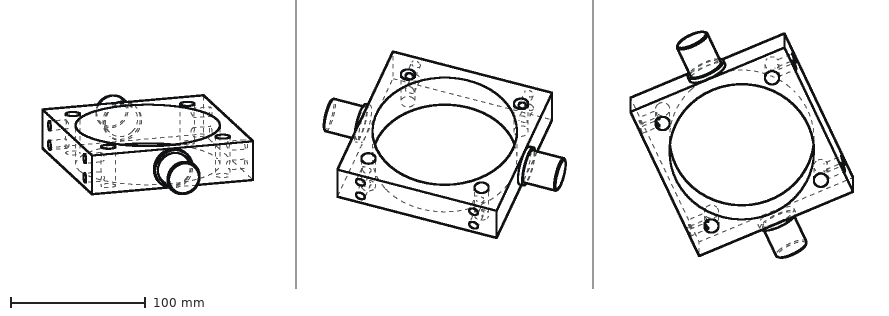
import cadquery as cq

body_side = 125.0
body_height = 30.0
bore_diameter = 107.0

overall_length = 182.0
collar_diameter = 29.1
collar_thickness = 3.3
pin_diameter = 25.0
pin_chamfer = 1.0

bolt_offset = 44.4
bolt_hole_diameter = 10.5
side_hole_diameter = 7.0
side_hole_height = 7.5

half_side = body_side / 2
side_hole_depth = half_side - bolt_offset


def make_body():
    """Square block with a large bore and four vertical bolt holes."""
    bolt_spacing = 2 * bolt_offset
    return (
        cq.Workplane("XY")
        .box(body_side, body_side, body_height)
        .faces(">Z").workplane()
        .hole(bore_diameter)
        .faces(">Z").workplane()
        .rect(bolt_spacing, bolt_spacing, forConstruction=True)
        .vertices()
        .hole(bolt_hole_diameter)
    )


def make_trunnion():
    """Collar and chamfered pin on the +X side."""
    pin_length = overall_length / 2 - half_side
    pin = (
        cq.Workplane("YZ", origin=(half_side, 0, 0))
        .circle(pin_diameter / 2)
        .extrude(pin_length)
        .faces(">X").chamfer(pin_chamfer)
    )
    collar = (
        cq.Workplane("YZ", origin=(half_side, 0, 0))
        .circle(collar_diameter / 2)
        .extrude(collar_thickness)
    )
    return pin.union(collar)


def make_side_holes():
    """Cutters running from the -Y face to the bolt hole axes."""
    return (
        cq.Workplane("XZ", origin=(0, -bolt_offset, 0))
        .rect(2 * bolt_offset, 2 * side_hole_height, forConstruction=True)
        .vertices()
        .circle(side_hole_diameter / 2)
        .extrude(side_hole_depth)
    )


trunnion = make_trunnion()
side_holes = make_side_holes()
result = (
    make_body()
    .union(trunnion)
    .union(trunnion.mirror("YZ"))
    .cut(side_holes)
    .cut(side_holes.mirror("XZ"))
)